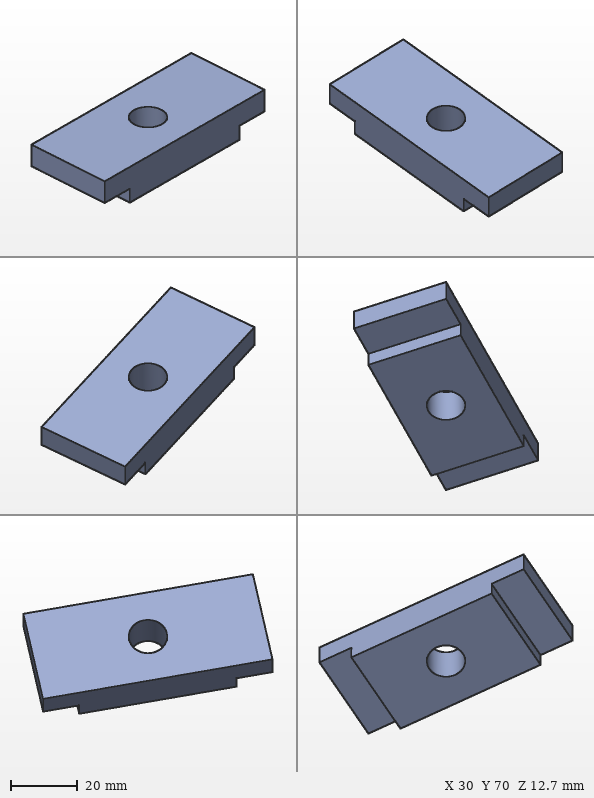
import cadquery as cq

width = 30.0
length = 70.0
height = 12.7

block_length = 48.0
block_height = 5.0
plate_height = height - block_height

hole_diameter = 11.5

block = cq.Workplane("XY").box(width, block_length, block_height, centered=(True, True, False))

plate = (
    cq.Workplane("XY")
    .workplane(offset=block_height)
    .box(width, length, plate_height, centered=(True, True, False))
)

result = block.union(plate).faces(">Z").workplane().hole(hole_diameter)